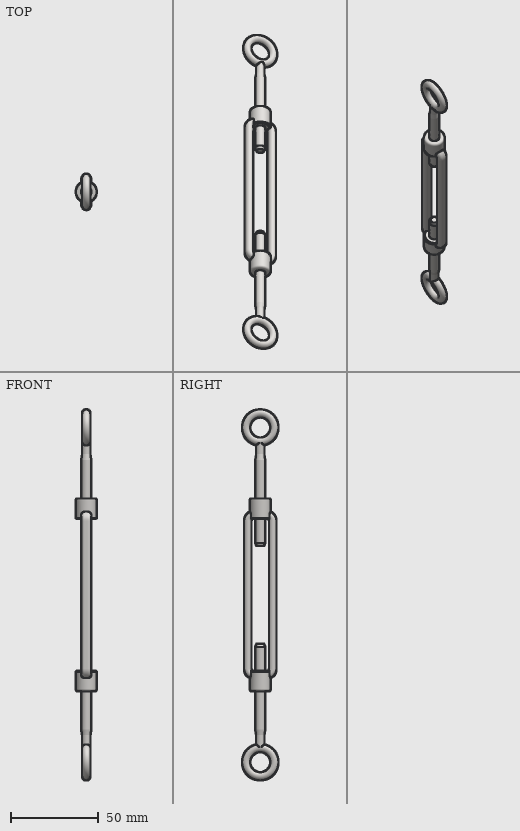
import cadquery as cq

total_length = 212.0

ring_outer_diameter = 21.0
ring_wire_diameter = 4.9
screw_diameter = 6.0
neck_end_z = 80.1
shoulder_height = 3.2
screw_tip_z = 27.8
tip_chamfer_height = 2.0
tip_chamfer_depth = 0.8

hub_diameter = 12.0
hub_height = 11.9
hub_outer_z = 55.1
hub_outer_fillet = 1.3
hub_inner_chamfer = 0.6
bar_width = 6.0
bar_thickness = 4.5
bar_outer_y = 9.3
bar_end_z = 42.5
elbow_inner_radius = 1.0

ring_mean_radius = (ring_outer_diameter - ring_wire_diameter) / 2
ring_center_z = total_length / 2 - ring_outer_diameter / 2
screw_end_z = neck_end_z - shoulder_height
hub_inner_z = hub_outer_z - hub_height
bar_center_y = bar_outer_y - bar_thickness / 2


def make_eye_bolt():
    """Upper eye bolt: a ring in the YZ plane on a neck, with a conical shoulder down to the screw."""
    ring = cq.Workplane("XY").add(
        cq.Solid.makeTorus(
            ring_mean_radius,
            ring_wire_diameter / 2,
            cq.Vector(0, 0, ring_center_z),
            cq.Vector(1, 0, 0),
        )
    )
    neck_top_z = ring_center_z - ring_mean_radius
    neck_radius = ring_wire_diameter / 2
    screw_radius = screw_diameter / 2
    shank = (
        cq.Workplane("XZ")
        .moveTo(0, screw_tip_z)
        .lineTo(screw_radius - tip_chamfer_depth, screw_tip_z)
        .lineTo(screw_radius, screw_tip_z + tip_chamfer_height)
        .lineTo(screw_radius, screw_end_z)
        .lineTo(neck_radius, neck_end_z)
        .lineTo(neck_radius, neck_top_z)
        .lineTo(0, neck_top_z)
        .close()
        .revolve(360, (0, 0, 0), (0, 1, 0))
    )
    return ring.union(shank)


def make_hub():
    """Upper hub, solid until the screw hole is bored."""
    return (
        cq.Workplane("XY", origin=(0, 0, hub_inner_z))
        .circle(hub_diameter / 2)
        .extrude(hub_height)
        .faces(">Z").edges().fillet(hub_outer_fillet)
        .faces("<Z").edges().chamfer(hub_inner_chamfer)
    )


def bar_section(z):
    """Bar cross-section at height z: a slot shape, long along X."""
    return cq.Workplane("XY", origin=(0, bar_center_y, z)).slot2D(bar_width, bar_thickness)


def make_bar():
    """Bar on the +Y side, between its two elbows."""
    return bar_section(-bar_end_z).extrude(2 * bar_end_z)


def make_elbow():
    """Upper elbow of the +Y bar, a quarter turn that ends inside the hub."""
    axis_y = -bar_thickness / 2 - elbow_inner_radius
    return bar_section(bar_end_z).revolve(90, (0, axis_y, 0), (1, axis_y, 0))


def make_frame():
    """Both hubs and both bars as one body, with the screw holes."""
    upper_hub = make_hub()
    frame = upper_hub.union(upper_hub.mirror("XY"))
    elbow = make_elbow()
    bar = make_bar().union(elbow).union(elbow.mirror("XY"))
    frame = frame.union(bar).union(bar.mirror("XZ"))
    screw_hole = (
        cq.Workplane("XY", origin=(0, 0, -hub_outer_z))
        .circle(screw_diameter / 2)
        .extrude(2 * hub_outer_z)
    )
    return frame.cut(screw_hole)


frame = make_frame()
upper_eye_bolt = make_eye_bolt()
eye_bolts = [upper_eye_bolt, upper_eye_bolt.mirror("XY")]

result = cq.Compound.makeCompound([frame.val(), *[bolt.val() for bolt in eye_bolts]])